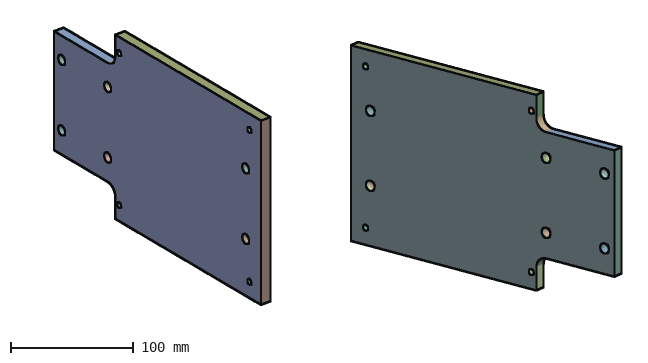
import cadquery as cq

length = 270.0
thickness = 10.0
body_height = 170.0
tab_length = 80.0
tab_height = 110.0
corner_radius = 10.0

large_hole_diameter = 9.0
large_hole_columns = (10.0, 70.0, 250.0)
large_hole_row_spacing = 65.0

small_hole_diameter = 5.0
small_hole_columns = (85.0, 255.0)
small_hole_row_spacing = 140.0

tab_end = -length / 2
shoulder = tab_end + tab_length


def plate_block(start_x, end_x, height):
    """Plate-thick block spanning start_x to end_x, centred on Y and Z."""
    block = cq.Workplane("XY").box(end_x - start_x, thickness, height)
    return block.translate(((start_x + end_x) / 2, 0, 0))


def hole_pins(diameter, columns, row_spacing):
    """Cutters through the plate in two rows mirrored about Z = 0."""
    centers = [
        (tab_end + column, side * row_spacing / 2)
        for column in columns
        for side in (-1, 1)
    ]
    sketch = cq.Workplane("XZ").pushPoints(centers).circle(diameter / 2)
    return sketch.extrude(thickness, both=True)


body = plate_block(shoulder, length / 2, body_height)
tab = plate_block(tab_end, shoulder, tab_height)
plate = body.union(tab)
inner_corners = cq.selectors.BoxSelector(
    (shoulder - corner_radius / 2, -thickness, -tab_height / 2 - corner_radius / 2),
    (shoulder + corner_radius / 2, thickness, tab_height / 2 + corner_radius / 2),
)
plate = plate.edges("|Y").edges(inner_corners).fillet(corner_radius)

large_pins = hole_pins(large_hole_diameter, large_hole_columns, large_hole_row_spacing)
small_pins = hole_pins(small_hole_diameter, small_hole_columns, small_hole_row_spacing)
result = plate.cut(large_pins).cut(small_pins)